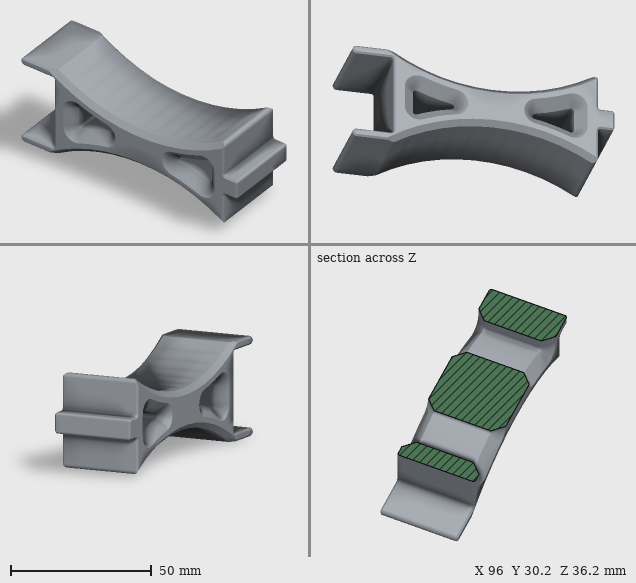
import cadquery as cq
import math

width = 30.2
body_length = 75.0
fork_depth = 15.0
fork_gap = 30.2
leg_thickness = 3.0
tab_length = 6.0
tab_height = 7.7

waist_height = 15.0
saddle_radius = 70.0
saddle_chamfer = 2.0

window_chamfer = 4.0
window_wall = 8.0
window_corner_radius = 1.0

edge_chamfer = 0.6
leg_end_radius = leg_thickness / 2
inner_corner_radius = 1.0
tab_end_radius = 1.0
shoulder_radius = 1.5
saddle_tip_radius = 1.5

half_width = width / 2
half_body = body_length / 2
height = fork_gap + 2 * leg_thickness
half_height = height / 2
fork_tip_x = -half_body - fork_depth
tab_tip_x = half_body + tab_length
saddle_center_z = waist_height / 2 + saddle_radius
tip_z = saddle_center_z - math.sqrt(saddle_radius**2 - half_body**2)
margin = 1.0
edge_tolerance = 0.1


def prism(sketch, depth):
    """Extrude an XZ sketch over the given depth, centred on Y = 0."""
    return sketch.extrude(depth / 2, both=True)


def edges_at(solid, x, z):
    """Edges along Y at the given X and at both +Z and -Z."""

    def is_here(edge):
        middle = edge.Center()
        return abs(middle.x - x) < edge_tolerance and abs(abs(middle.z) - z) < edge_tolerance

    return solid.edges("|Y").filter(is_here)


def make_blank():
    """Straight-sided body with its fork and tab, before the saddles are cut."""
    leg_start_x = fork_tip_x + leg_end_radius
    body = cq.Workplane("XY").box(half_body - leg_start_x, width, height)
    body = body.translate(((half_body + leg_start_x) / 2, 0, 0))
    gap = cq.Workplane("XY").box(2 * fork_depth, width + 2 * margin, fork_gap)
    gap = gap.translate((fork_tip_x, 0, 0))
    tab = cq.Workplane("XY").box(2 * tab_length, width, tab_height)
    tip = cq.Workplane("XY").box(half_body, width, 2 * (tip_z + margin)).translate((half_body / 2, 0, 0))
    blank = body.union(tip).cut(gap).union(tab.translate((half_body, 0, 0)))

    leg_center_z = (fork_gap + leg_thickness) / 2
    leg_centers = [(leg_start_x, leg_center_z), (leg_start_x, -leg_center_z)]
    leg_ends = prism(cq.Workplane("XZ").pushPoints(leg_centers).circle(leg_end_radius), width)
    blank = blank.union(leg_ends)

    blank = edges_at(blank, -half_body, fork_gap / 2).fillet(inner_corner_radius)
    blank = edges_at(blank, half_body, tab_height / 2).fillet(inner_corner_radius)
    blank = edges_at(blank, tab_tip_x, tab_height / 2).fillet(tab_end_radius)
    return blank.faces("<Y or >Y").edges().chamfer(edge_chamfer)


def make_saddle_cutter():
    """Cylinder along Y that flares at both ends to chamfer the saddle's long edges."""
    inner_y = half_width - saddle_chamfer
    outer_y = half_width + margin
    outer_radius = saddle_radius + saddle_chamfer + margin
    profile = cq.Workplane("XY").polyline([
        (0, -outer_y),
        (outer_radius, -outer_y),
        (saddle_radius, -inner_y),
        (saddle_radius, inner_y),
        (outer_radius, outer_y),
        (0, outer_y),
    ]).close()
    return profile.revolve(360, (0, 0, 0), (0, 1, 0)).translate((0, 0, saddle_center_z))


def cut_saddles(part):
    """Cut the top and bottom saddles, then round where they meet the fork legs and the tab wall."""
    cutter = make_saddle_cutter()
    part = part.cut(cutter).cut(cutter.mirror("XY"))
    shoulder_x = -math.sqrt(saddle_radius**2 - (saddle_center_z - half_height) ** 2)
    part = edges_at(part, shoulder_x, half_height).fillet(shoulder_radius)
    return edges_at(part, half_body, tip_z).fillet(saddle_tip_radius)


def make_window_cutter():
    """Fork-side window: a rounded triangular through hole with a wide chamfer at both faces."""
    arc_radius = saddle_radius + window_wall
    wall_x = -half_body + window_wall
    tip_x = -math.sqrt(arc_radius**2 - saddle_center_z**2)
    middle_x = (wall_x + tip_x) / 2
    corner_z = saddle_center_z - math.sqrt(arc_radius**2 - wall_x**2)
    middle_z = saddle_center_z - math.sqrt(arc_radius**2 - middle_x**2)
    outline = (
        cq.Workplane("XZ")
        .moveTo(wall_x, -corner_z)
        .lineTo(wall_x, corner_z)
        .threePointArc((middle_x, middle_z), (tip_x, 0))
        .threePointArc((middle_x, -middle_z), (wall_x, -corner_z))
        .close()
    )
    return prism(outline, width + 2 * margin).edges("|Y").fillet(window_corner_radius)


def cut_windows(part):
    """Cut the two mirrored windows and chamfer their rims on both sides."""
    hole = make_window_cutter()
    for cutter in (hole, hole.mirror("YZ")):
        part = part.cut(cutter)
    side_faces = part.faces("<Y or >Y").vals()
    rims = [wire for face in side_faces for wire in face.innerWires()]
    rim_edges = [edge for rim in rims for edge in rim.Edges()]
    return part.newObject(rim_edges).chamfer(window_chamfer)


result = cut_windows(cut_saddles(make_blank()))